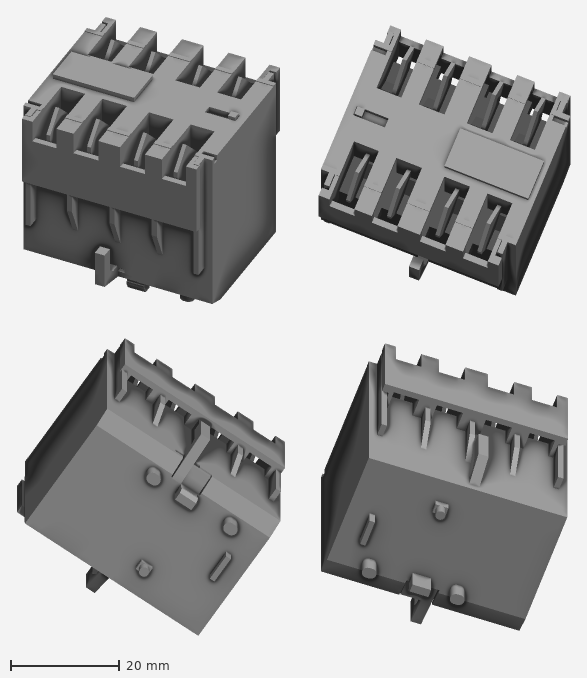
import cadquery as cq

FRONT = -1
REAR = 1

BODY_WIDTH = 38.8
BODY_DEPTH = 26.77
BODY_BOTTOM = 4.15
BODY_TOP = 38.2
SIDE_X = BODY_WIDTH / 2
FACE_Y = BODY_DEPTH / 2
CHAMFER_HEIGHT = 1.2
CHAMFER_LENGTH = 3.45

STRIP_TOP = 38.35
STRIP_DEPTH = 1.0
STRIP_Y = FACE_Y - STRIP_DEPTH

TOTAL_HEIGHT = 39.2
LABEL_X = (-18.25, -1.55)
LABEL_Y = (-3.35, 4.45)
SLIDER_SLOT_X = (11.5, 17.8)
SLIDER_SLOT_Y = (-0.35, 1.5)
SLIDER_SLOT_DEPTH = 1.37
SLIDER_GAP = 0.15
SLIDER_LENGTH = 1.5
SLIDER_TOP = 38.8

PANEL_HALF_WIDTH = 17.9
PANEL_BOTTOM = 23.8
PANEL_THICKNESS = 1.18
PANEL_FACE = {FRONT: 17.0, REAR: 18.15}
LIP_DEPTH = 1.6
LIP_INNER_X = 16.6
NOTCH_FLOOR = 33.7

SLOT_INNER_X = (2.25, 7.35)
SLOT_OUTER_X = (10.8, 15.75)
SLOTS_X = (
    (-SLOT_OUTER_X[1], -SLOT_OUTER_X[0]),
    (-SLOT_INNER_X[1], -SLOT_INNER_X[0]),
    SLOT_INNER_X,
    SLOT_OUTER_X,
)
SLOT_WALL = {FRONT: 4.95, REAR: 6.1}
SLOT_FLOOR = 28.22

TOWER_ROOF = 1.2
HOLLOW_DEPTHS = (2.82, 2.82, 1.7)

BLADES_X = (-13.2, -4.85, 4.8, 12.95)
BLADE_THICKNESS = 0.8
BLADE_PEAK_Z = 38.8
BLADE_PEAK_Y = {FRONT: 11.72, REAR: 11.55}
BLADE_TIP_Y = {FRONT: 15.55, REAR: 16.05}
BLADE_HEEL_Y = {FRONT: 5.7, REAR: SLOT_WALL[REAR]}
BLADE_TIP_HEIGHT = 1.15

RIDGE_PEAK_Y = 7.05
RIDGE_HEIGHT = 2.35
RIDGE_SHORT_SLOPE = 0.63

RIB_WIDTH = 1.05
RIB_FACE = 15.88
RIB_BOTTOM = 13.17
END_RIB_X = 17.25
TAPERED_RIBS_X = (-8.7, 0, 8.7)
RIB_TAPER_TOP = 19.15

GROOVE_DEPTH = 1.2
GROOVE_LENGTH = SIDE_X - LIP_INNER_X

LOWER_MOUTH_X = (-2.4, 4.08)
LOWER_MOUTH_TOP = 6.43
UPPER_MOUTH_X = (-4.08, 1.4)
UPPER_MOUTH_TOP = 7.45
UPPER_MOUTH_DEPTH = 1.18
UPPER_MOUTH_SLANT = 0.4
FOOT_X = (-0.08, 3.55)
FOOT_BACK_Y = -7.35
FOOT_FACE_Y = -9.3
FOOT_LIP_Y = -9.6
FOOT_LIP_TOP = 1.72
FOOT_LIP_BOTTOM = 1.18
FOOT_TIP_Y = -8.98
WEDGE_WIDTH = 3.95
WEDGE_FACE_Y = -13.15
WEDGE_FACE_BOTTOM = 5.25
WEDGE_HEEL_BOTTOM = 4.75

HOOK_WIDTH = 2.0
HOOK_POST_DEPTH = 2.2
HOOK_ARM_TOP = 7.8
HOOK_LEFT_X = {FRONT: -2.08, REAR: -2.25}
HOOK_ROOT_Y = {FRONT: -FOOT_FACE_Y, REAR: FACE_Y}
HOOK_ARM_END_Y = {FRONT: 15.25, REAR: 15.1}
HOOK_OUTER_Y = {FRONT: 18.78, REAR: 18.55}
HOOK_TOP = {FRONT: 13.75, REAR: 15.4}
HOOK_BEVEL_TOP = {FRONT: 8.95, REAR: 10.6}
HOOK_OUTER_BOTTOM = {FRONT: 6.55, REAR: 8.35}
HOOK_ROOT_BOTTOM = {FRONT: 4.3, REAR: 5.6}

SLOTTED_PINS_X = (-5.45, 11.75)
SLOTTED_PIN_Y = -8.2
SLOTTED_PIN_LENGTH = 2.75
SLOTTED_PIN_WIDTH = 2.2
SLOTTED_PIN_BOTTOM = 0.82
STEPPED_PIN_X = 3.45
STEPPED_PIN_Y = 7.85
STEPPED_PIN_DIAMETER = 1.85
STEPPED_PIN_BASE_WIDTH = 2.5
STEPPED_PIN_STEP = 2.82
STEPPED_PIN_BOTTOM = 0.98
TAB_X = (14.25, 15.3)
TAB_Y = (-3.18, 2.15)
TAB_BOTTOM = 1.5


def block(x_range, y_range, z_range):
    """Box between the given limits; the two limits of a range may come in either order."""
    limits = [sorted(pair) for pair in (x_range, y_range, z_range)]
    sizes = [high - low for low, high in limits]
    corner = tuple(low for low, high in limits)
    return cq.Workplane("XY").box(*sizes, centered=False).translate(corner)


def plate(points, x_start, thickness):
    """Extrude a closed outline of (y, z) points along +X."""
    outline = cq.Workplane("YZ", origin=(x_start, 0, 0)).polyline(points).close()
    return outline.extrude(thickness)


def make_body():
    outline = [
        (-FACE_Y, BODY_TOP),
        (FACE_Y, BODY_TOP),
        (FACE_Y, BODY_BOTTOM),
        (-FACE_Y + CHAMFER_LENGTH, BODY_BOTTOM),
        (-FACE_Y, BODY_BOTTOM + CHAMFER_HEIGHT),
    ]
    body = plate(outline, -SIDE_X, BODY_WIDTH)
    for side in (FRONT, REAR):
        strip_y = (side * STRIP_Y, side * FACE_Y)
        body = body.union(block((-SIDE_X, SIDE_X), strip_y, (BODY_TOP, STRIP_TOP)))
    return body


def make_panel(side):
    """Panel of one bank with its towers and end walls, before the slots are cut."""
    face = side * PANEL_FACE[side]
    inner = face - side * PANEL_THICKNESS
    height = (PANEL_BOTTOM, BODY_TOP)
    panel = block((-PANEL_HALF_WIDTH, PANEL_HALF_WIDTH), (inner, face), height)
    panel = panel.union(block((-LIP_INNER_X, LIP_INNER_X), (side * FACE_Y, face), height))
    for x_sign in (-1, 1):
        lip_x = (x_sign * LIP_INNER_X, x_sign * PANEL_HALF_WIDTH)
        panel = panel.union(block(lip_x, (face - side * LIP_DEPTH, face), height))
    return panel


def make_ribs(side):
    root = side * FACE_Y
    face = side * RIB_FACE
    ribs = cq.Workplane("XY")
    for x in (-END_RIB_X, END_RIB_X):
        rib_x = (x - RIB_WIDTH / 2, x + RIB_WIDTH / 2)
        ribs = ribs.add(block(rib_x, (root, face), (RIB_BOTTOM, STRIP_TOP)))
    tapered = [
        (root, PANEL_BOTTOM),
        (face, PANEL_BOTTOM),
        (face, RIB_TAPER_TOP),
        (root, RIB_BOTTOM),
    ]
    for x in TAPERED_RIBS_X:
        ribs = ribs.add(plate(tapered, x - RIB_WIDTH / 2, RIB_WIDTH))
    return ribs.combine()


def cut_slots(part, side):
    """Cut the slots of one bank and their openings through the panel."""
    wall = side * SLOT_WALL[side]
    face = side * PANEL_FACE[side]
    inner = face - side * PANEL_THICKNESS
    for slot_x in SLOTS_X:
        part = part.cut(block(slot_x, (wall, side * FACE_Y), (SLOT_FLOOR, STRIP_TOP)))
        part = part.cut(block(slot_x, (side * FACE_Y, inner), (PANEL_BOTTOM, STRIP_TOP)))
        part = part.cut(block(slot_x, (inner, face), (NOTCH_FLOOR, BODY_TOP)))
    return part


def cut_tower_hollows(part):
    """Cut the roofed channels that run from the front panel to the rear panel."""
    hollow_y = (PANEL_THICKNESS - PANEL_FACE[FRONT], PANEL_FACE[REAR] - PANEL_THICKNESS)
    hollow_z = (SLOT_FLOOR, BODY_TOP - TOWER_ROOF)
    for slot_x, depth in zip(SLOTS_X, HOLLOW_DEPTHS):
        part = part.cut(block((slot_x[1], slot_x[1] + depth), hollow_y, hollow_z))
    return part


def make_blade(side, x):
    peak, tip, heel = BLADE_PEAK_Y[side], BLADE_TIP_Y[side], BLADE_HEEL_Y[side]
    tip_z = BLADE_PEAK_Z - (tip - peak)
    heel_z = BLADE_PEAK_Z - (peak - heel)
    outline = [
        (side * peak, BLADE_PEAK_Z),
        (side * tip, tip_z),
        (side * tip, tip_z - BLADE_TIP_HEIGHT),
        (side * FACE_Y, SLOT_FLOOR),
        (side * heel, SLOT_FLOOR),
        (side * heel, heel_z),
    ]
    return plate(outline, x - BLADE_THICKNESS / 2, BLADE_THICKNESS)


def make_ridge(side, x_range):
    """Floor ridge with 45 degree slopes; the short slope ends in a step towards the slot wall."""
    step_y = RIDGE_PEAK_Y - RIDGE_SHORT_SLOPE
    outline = [
        (side * (RIDGE_PEAK_Y + RIDGE_HEIGHT), SLOT_FLOOR),
        (side * RIDGE_PEAK_Y, SLOT_FLOOR + RIDGE_HEIGHT),
        (side * step_y, SLOT_FLOOR + RIDGE_HEIGHT - RIDGE_SHORT_SLOPE),
        (side * step_y, SLOT_FLOOR),
    ]
    return plate(outline, x_range[0], x_range[1] - x_range[0])


def add_contacts(part, side):
    for slot_x, blade_x in zip(SLOTS_X, BLADES_X):
        ridge_x = (blade_x, slot_x[1]) if side == FRONT else (slot_x[0], blade_x)
        part = part.union(make_ridge(side, ridge_x))
        part = part.union(make_blade(side, blade_x))
    return part


def cut_side_grooves(part):
    groove_z = (BODY_TOP - GROOVE_DEPTH, BODY_TOP)
    for x_sign in (-1, 1):
        groove_x = (x_sign * (SIDE_X - GROOVE_LENGTH), x_sign * SIDE_X)
        part = part.cut(block(groove_x, (-STRIP_Y, -STRIP_Y + STRIP_DEPTH), groove_z))
    return part


def add_top_details(part):
    part = part.union(block(LABEL_X, LABEL_Y, (BODY_TOP, TOTAL_HEIGHT)))
    slot_floor = BODY_TOP - SLIDER_SLOT_DEPTH
    part = part.cut(block(SLIDER_SLOT_X, SLIDER_SLOT_Y, (slot_floor, BODY_TOP)))
    slider_end = SLIDER_SLOT_X[1] - SLIDER_GAP
    slider_x = (slider_end - SLIDER_LENGTH, slider_end)
    slider_y = (SLIDER_SLOT_Y[0] + SLIDER_GAP, SLIDER_SLOT_Y[1] - SLIDER_GAP)
    return part.union(block(slider_x, slider_y, (slot_floor, SLIDER_TOP)))


def make_hook(side):
    """Hook with an upright post and an arm whose underside slopes down towards the body."""
    root, arm_end = HOOK_ROOT_Y[side], HOOK_ARM_END_Y[side]
    outer = HOOK_OUTER_Y[side]
    inner = outer - HOOK_POST_DEPTH
    outline = [
        (side * root, HOOK_ARM_TOP),
        (side * arm_end, HOOK_ARM_TOP),
        (side * inner, HOOK_BEVEL_TOP[side]),
        (side * inner, HOOK_TOP[side]),
        (side * outer, HOOK_TOP[side]),
        (side * outer, HOOK_OUTER_BOTTOM[side]),
        (side * root, HOOK_ROOT_BOTTOM[side]),
    ]
    return plate(outline, HOOK_LEFT_X[side], HOOK_WIDTH)


def make_foot():
    outline = [
        (FOOT_BACK_Y, WEDGE_HEEL_BOTTOM),
        (FOOT_FACE_Y, WEDGE_HEEL_BOTTOM),
        (FOOT_FACE_Y, FOOT_LIP_TOP),
        (FOOT_LIP_Y, FOOT_LIP_TOP),
        (FOOT_LIP_Y, FOOT_LIP_BOTTOM),
        (FOOT_TIP_Y, 0),
        (FOOT_BACK_Y, 0),
    ]
    return plate(outline, FOOT_X[0], FOOT_X[1] - FOOT_X[0])


def make_wedge():
    outline = [
        (FOOT_FACE_Y, LOWER_MOUTH_TOP),
        (WEDGE_FACE_Y, LOWER_MOUTH_TOP),
        (WEDGE_FACE_Y, WEDGE_FACE_BOTTOM),
        (FOOT_FACE_Y, WEDGE_HEEL_BOTTOM),
    ]
    return plate(outline, FOOT_X[0], WEDGE_WIDTH)


def make_upper_mouth():
    """Shallow pocket whose left side wall slants inwards."""
    left, right = UPPER_MOUTH_X
    back_y = -FACE_Y + UPPER_MOUTH_DEPTH
    outline = [
        (left, -FACE_Y),
        (right, -FACE_Y),
        (right, back_y),
        (left + UPPER_MOUTH_SLANT, back_y),
    ]
    base = cq.Workplane("XY", origin=(0, 0, LOWER_MOUTH_TOP))
    return base.polyline(outline).close().extrude(UPPER_MOUTH_TOP - LOWER_MOUTH_TOP)


def add_latch(part):
    lower_y = (-FACE_Y, FOOT_FACE_Y)
    part = part.cut(block(LOWER_MOUTH_X, lower_y, (BODY_BOTTOM, LOWER_MOUTH_TOP)))
    part = part.cut(make_upper_mouth())
    for piece in (make_wedge(), make_hook(FRONT), make_hook(REAR), make_foot()):
        part = part.union(piece)
    return part


def add_pins(part):
    slotted_base = cq.Workplane("XY", origin=(0, SLOTTED_PIN_Y, SLOTTED_PIN_BOTTOM))
    slotted_height = BODY_BOTTOM - SLOTTED_PIN_BOTTOM
    for x in SLOTTED_PINS_X:
        pin = slotted_base.center(x, 0).slot2D(SLOTTED_PIN_LENGTH, SLOTTED_PIN_WIDTH)
        part = part.union(pin.extrude(slotted_height))

    stepped_base = cq.Workplane("XY", origin=(STEPPED_PIN_X, STEPPED_PIN_Y, 0))
    base = stepped_base.workplane(offset=STEPPED_PIN_STEP)
    base = base.rect(STEPPED_PIN_BASE_WIDTH, STEPPED_PIN_DIAMETER)
    part = part.union(base.extrude(BODY_BOTTOM - STEPPED_PIN_STEP))
    tip = stepped_base.workplane(offset=STEPPED_PIN_BOTTOM).circle(STEPPED_PIN_DIAMETER / 2)
    part = part.union(tip.extrude(STEPPED_PIN_STEP - STEPPED_PIN_BOTTOM))

    return part.union(block(TAB_X, TAB_Y, (TAB_BOTTOM, BODY_BOTTOM)))


result = make_body()
for bank in (FRONT, REAR):
    result = result.union(make_panel(bank))
    result = cut_slots(result, bank)
    result = result.union(make_ribs(bank))
result = cut_tower_hollows(result)
for bank in (FRONT, REAR):
    result = add_contacts(result, bank)
result = cut_side_grooves(result)
result = add_top_details(result)
result = add_latch(result)
result = add_pins(result)